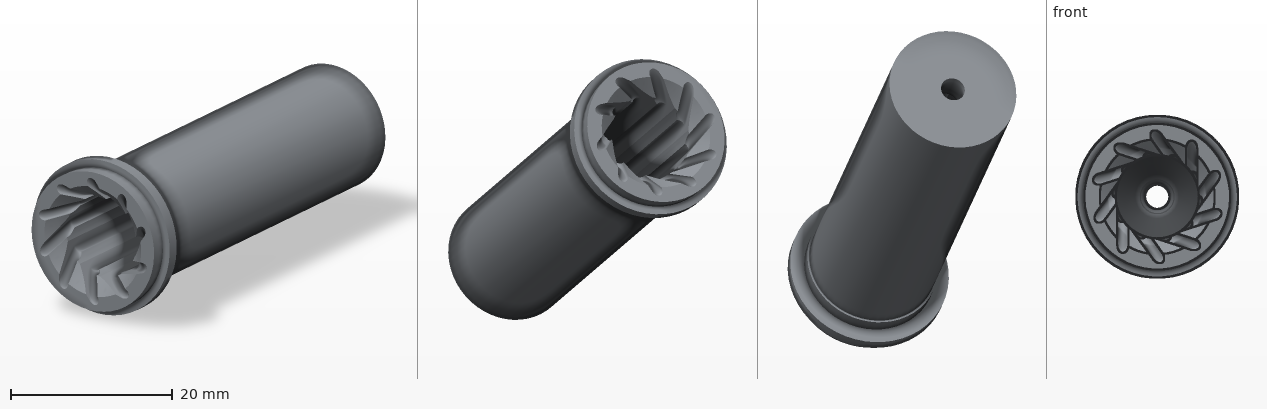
import cadquery as cq
import math

overall_length = 54.2
mouth_y = -overall_length / 2
back_y = overall_length / 2

rim_diameter = 18.0
rim_length = 2.0
flange_diameter = 20.0
flange_length = 1.6
collar_diameter = 16.5
collar_length = 2.0
body_diameter = 16.0
body_length = overall_length - rim_length - flange_length - collar_length

cone_slope = math.radians(45)
mouth_radius = 7.1
bore_radius = 5.13
bore_end_depth = 46.0
outlet_radius = 1.5
funnel_round_radius = 2.0

groove_count = 10
groove_radius = 0.69
groove_offset = 4.25
groove_mouth_height = 5.95
groove_bore_height = 2.45
groove_open_height = 1.0


def rod(start, end, radius):
    """Round bar between two points."""
    start_point = cq.Vector(*start)
    direction = cq.Vector(*end) - start_point
    bar = cq.Solid.makeCylinder(radius, direction.Length, start_point, direction)
    return cq.Workplane(obj=bar)


def ball(centre, radius):
    """Sphere about a point."""
    return cq.Workplane(origin=centre).sphere(radius)


def outside():
    """Stack the coaxial cylinders of the rim, flange, collar and body."""
    sections = [
        (rim_diameter, rim_length),
        (flange_diameter, flange_length),
        (collar_diameter, collar_length),
        (body_diameter, body_length),
    ]
    stack = cq.Workplane()
    start_y = mouth_y
    for diameter, length in sections:
        end_y = start_y + length
        stack = stack.union(rod((0, start_y, 0), (0, end_y, 0), diameter / 2))
        start_y = end_y
    return stack


def cavity():
    """Revolved inside space, with the funnel blended into the outlet by an arc."""
    bore_start_y = mouth_y + mouth_radius - bore_radius
    bore_end_y = mouth_y + bore_end_depth

    def inset(angle):
        """Radius on the blending arc where its slope to the axis is the given angle."""
        return outlet_radius + funnel_round_radius * (1 - math.cos(angle))

    def rise(angle):
        """Distance along the axis from that place on the arc to the arc's outlet end."""
        return funnel_round_radius * math.sin(angle)

    arc_start_y = bore_end_y + bore_radius - inset(cone_slope)
    arc_end_y = arc_start_y + rise(cone_slope)
    arc_middle = (inset(cone_slope / 2), arc_end_y - rise(cone_slope / 2))
    return (
        cq.Workplane("XY")
        .moveTo(0, mouth_y)
        .lineTo(mouth_radius, mouth_y)
        .lineTo(bore_radius, bore_start_y)
        .lineTo(bore_radius, bore_end_y)
        .lineTo(inset(cone_slope), arc_start_y)
        .threePointArc(arc_middle, (outlet_radius, arc_end_y))
        .lineTo(outlet_radius, back_y)
        .lineTo(0, back_y)
        .close()
        .revolve(360, (0, 0, 0), (0, 1, 0))
    )


def groove():
    """Cutter for one groove: a 45 degree leg, a round elbow, a bore leg and a round end."""
    lead_in = 2 * groove_radius
    outer_y = mouth_y - lead_in
    outer_height = groove_mouth_height + lead_in
    elbow_y = mouth_y + groove_mouth_height - groove_bore_height
    end_y = mouth_y + bore_end_depth - groove_radius

    outer_point = (groove_offset, outer_y, outer_height)
    elbow_point = (groove_offset, elbow_y, groove_bore_height)
    end_point = (groove_offset, end_y, groove_bore_height)
    open_end_point = (groove_offset, end_y, groove_open_height)

    flat_sides = (
        cq.Workplane("YZ", origin=(groove_offset, 0, 0))
        .moveTo(outer_y, outer_height)
        .lineTo(elbow_y, groove_bore_height)
        .lineTo(end_y, groove_bore_height)
        .lineTo(end_y, groove_open_height)
        .lineTo(outer_y, groove_open_height)
        .close()
        .extrude(groove_radius, both=True)
    )
    return (
        flat_sides
        .union(rod(outer_point, elbow_point, groove_radius))
        .union(ball(elbow_point, groove_radius))
        .union(rod(elbow_point, end_point, groove_radius))
        .union(ball(end_point, groove_radius))
        .union(rod(open_end_point, end_point, groove_radius))
    )


result = outside().cut(cavity())
groove_cutter = groove()
for index in range(groove_count):
    turn = index * 360 / groove_count
    result = result.cut(groove_cutter.rotate((0, 0, 0), (0, 1, 0), turn))